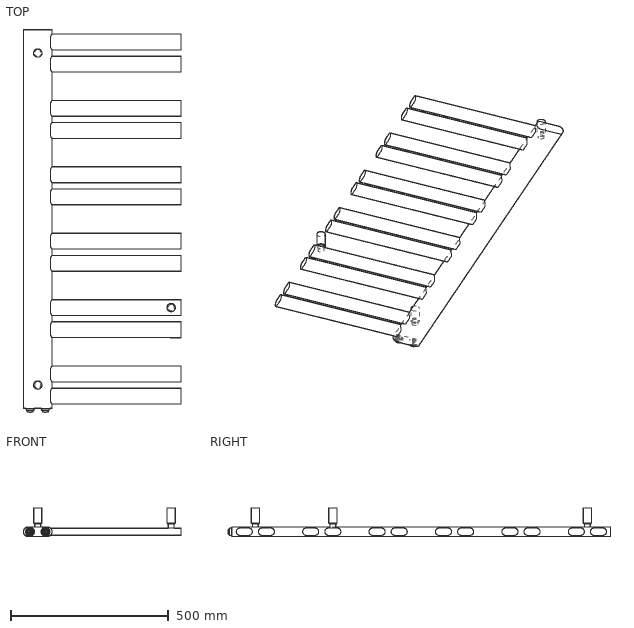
import cadquery as cq

rail_width = 91.0
rail_height = 30.0
total_length = 1213
plug_reach = 13.0
rail_length = total_length - plug_reach

total_width = 500.0
bar_width = 51.0
bar_height = 23.0
bar_slots = 17
slots_per_group = 3
bar_span = 1122.0
bar_pitch = bar_span / (bar_slots - 1)

total_height = 91.0
head_diameter = 27.0
head_length = 51.0
head_chamfer = 2.0
neck_diameter = 20.0
end_post_inset = 32.0
bar_post_slot = 4

plug_spacing = 49.0
flange_diameter = 28.0
flange_length = 2.0
body_diameter = 24.0
body_length = 5.0
nose_diameter = 18.0
nose_length = 4.0
cap_diameter = 12.0
cap_length = 1.0
tip_diameter = 5.0
tip_length = plug_reach - flange_length - body_length - nose_length - cap_length

rail_center_x = rail_width / 2
rail_top = rail_height / 2
post_top = total_height - rail_top
first_slot_y = -bar_span / 2


def slot_y(slot):
    """Y position of a bar slot; slot 0 is nearest the plugs."""
    return first_slot_y + slot * bar_pitch


def make_rail():
    return (
        cq.Workplane("XZ", origin=(rail_center_x, rail_length / 2, 0))
        .slot2D(rail_width, rail_height)
        .extrude(rail_length)
    )


def make_bar(y):
    """One bar that starts inside the rail and reaches the far side."""
    return (
        cq.Workplane("YZ", origin=(rail_center_x, y, 0))
        .slot2D(bar_width, bar_height)
        .extrude(total_width - rail_center_x)
    )


def make_post(x, y):
    """One post that starts inside the tube below it."""
    neck = neck_diameter / 2
    head = head_diameter / 2
    head_bottom = post_top - head_length
    return (
        cq.Workplane("XZ", origin=(x, y, 0))
        .moveTo(0, 0)
        .lineTo(-neck, 0)
        .lineTo(-neck, head_bottom)
        .lineTo(-head + head_chamfer, head_bottom)
        .lineTo(-head, head_bottom + head_chamfer)
        .lineTo(-head, post_top)
        .lineTo(0, post_top)
        .close()
        .revolve(360, (0, 0), (0, 1))
    )


def make_radiator():
    radiator = make_rail()
    for slot in range(bar_slots):
        if (slot + 1) % slots_per_group != 0:
            radiator = radiator.union(make_bar(slot_y(slot)))
    rail_post_y = (bar_span - bar_pitch) / 2
    posts = [
        (rail_center_x, rail_post_y),
        (rail_center_x, -rail_post_y),
        (total_width - end_post_inset, slot_y(bar_post_slot)),
    ]
    for x, y in posts:
        radiator = radiator.union(make_post(x, y))
    return radiator


def make_plug(x):
    """One plug seated on the end face of the rail, pointing along -Y."""
    steps = [
        (flange_diameter, flange_length),
        (body_diameter, body_length),
        (nose_diameter, nose_length),
        (cap_diameter, cap_length),
        (tip_diameter, tip_length),
    ]
    plug = cq.Workplane()
    step_start = -rail_length / 2
    for diameter, length in steps:
        step = cq.Workplane("XZ", origin=(x, step_start, 0)).circle(diameter / 2).extrude(length)
        plug = plug.union(step)
        step_start -= length
    return plug


radiator = make_radiator()
plugs = [make_plug(rail_center_x + side * plug_spacing / 2) for side in (-1, 1)]

result = cq.Compound.makeCompound([radiator.val(), *[plug.val() for plug in plugs]])